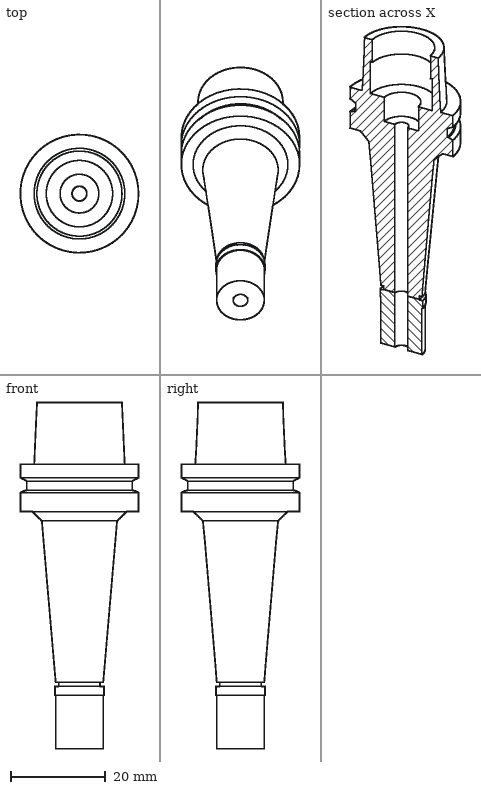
import cadquery as cq

total_length = 73.0
nut_length = 13.15
through_hole_radius = 1.5

shank_length = 13.0
shank_top_radius = 9.0
shank_base_radius = 9.55

flange_radius = 12.5
flange_length = 10.0
groove_root_radius = 11.2
groove_offset = 2.85
groove_width = 3.15
groove_upper_height = 0.7
groove_lower_height = 0.45
groove_shelf_radius = 11.45

shoulder_radius = 10.0
shoulder_length = 2.0
neck_top_radius = 7.95
neck_end_radius = 5.05
relief_radius = 4.4
relief_length = 0.9

mouth_radius = 7.0
mouth_depth = 5.55
undercut_radius = 7.45
cavity_depth = 13.15
counterbore_radius = 4.1
counterbore_depth = 5.85

collar_radius = 5.2
collar_length = 1.9
nut_radius = 5.05

flange_top = total_length - shank_length
groove_top = flange_top - groove_offset
groove_bottom = groove_top - groove_width
flange_bottom = flange_top - flange_length
neck_top = flange_bottom - shoulder_length
neck_end = nut_length + relief_length
cavity_floor = total_length - cavity_depth


def cylinder(radius, bottom, top):
    """Cylinder on the Z axis between two levels."""
    return cq.Workplane("XY").workplane(offset=bottom).circle(radius).extrude(top - bottom)


def make_holder():
    """Turned tool holder, from the taper shank down to the relief."""
    outline = [
        (0, total_length),
        (shank_top_radius, total_length),
        (shank_base_radius, flange_top),
        (flange_radius, flange_top),
        (flange_radius, groove_top),
        (groove_root_radius, groove_top - groove_upper_height),
        (groove_root_radius, groove_bottom + groove_lower_height),
        (groove_shelf_radius, groove_bottom + groove_lower_height),
        (flange_radius, groove_bottom),
        (flange_radius, flange_bottom),
        (shoulder_radius, flange_bottom),
        (neck_top_radius, neck_top),
        (neck_end_radius, neck_end),
        (relief_radius, neck_end),
        (relief_radius, nut_length),
        (0, nut_length),
    ]
    body = cq.Workplane("XZ").polyline(outline).close().revolve(360, (0, 0), (0, 1))
    mouth = cylinder(mouth_radius, total_length - mouth_depth, total_length)
    undercut = cylinder(undercut_radius, cavity_floor, total_length - mouth_depth)
    counterbore = cylinder(counterbore_radius, cavity_floor - counterbore_depth, cavity_floor)
    through_hole = cylinder(through_hole_radius, nut_length, total_length)
    return body.cut(mouth).cut(undercut).cut(counterbore).cut(through_hole)


def make_nut():
    """Clamping nut: a sleeve with a low collar at its upper end."""
    sleeve = cylinder(nut_radius, 0, nut_length)
    collar = cylinder(collar_radius, nut_length - collar_length, nut_length)
    through_hole = cylinder(through_hole_radius, 0, nut_length)
    return sleeve.union(collar).cut(through_hole)


holder = make_holder()
nut = make_nut()
result = cq.Compound.makeCompound([holder.val(), nut.val()])